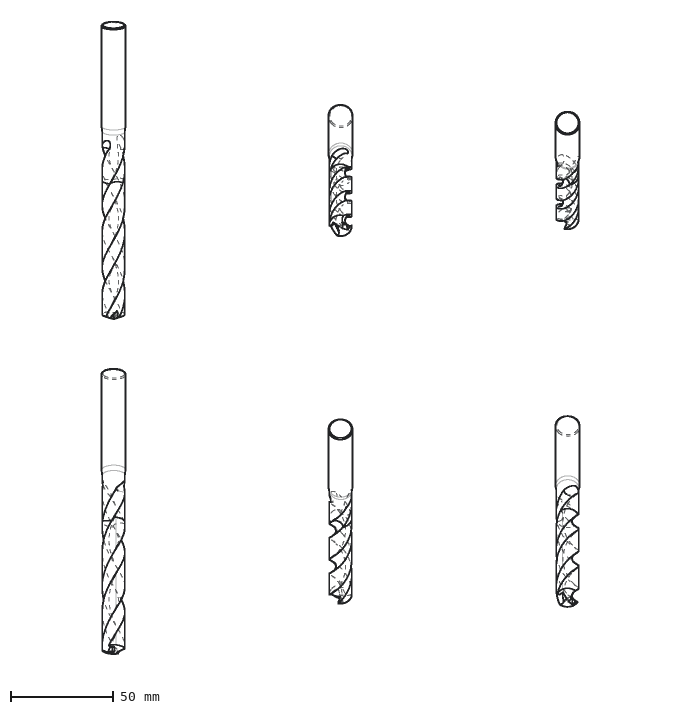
import cadquery as cq
import math

total_length = 151.0
split_height = 71.1
neck_bottom = 96.3
shank_bottom = 99.0

shank_radius = 12.0 / 2
drill_radius = 11.2 / 2

point_angle = 130.0
point_height = drill_radius / math.tan(math.radians(point_angle / 2))
end_chamfer = 0.6

flute_count = 2
flute_lead = 64.2
flute_radius = 3.6
flute_centre_radius = 5.9
flute_angle_at_point = -87.0
flute_start = -1.5
flute_helix_end = 87.6
runout_height = 9.0
runout_sideways = 9.0
runout_outward = 2.4

gash_end = (2.4, -1.4, 5.0)
gash_length = 4.4
gash_width = 4.5
gash_end_slant = 1.5
gash_depth = 6.0
gash_tilt = 0.3


def make_cutting_head():
    """Cylinder with a conical point, before fluting."""
    return (
        cq.Workplane("XZ")
        .moveTo(0, 0)
        .lineTo(drill_radius, point_height)
        .lineTo(drill_radius, split_height)
        .lineTo(0, split_height)
        .close()
        .revolve(360, (0, 0, 0), (0, 1, 0))
    )


def make_shank():
    """Upper drill body, tapered neck and chamfered shank, before fluting."""
    return (
        cq.Workplane("XZ")
        .moveTo(0, split_height)
        .lineTo(drill_radius, split_height)
        .lineTo(drill_radius, neck_bottom)
        .lineTo(shank_radius, shank_bottom)
        .lineTo(shank_radius, total_length - end_chamfer)
        .lineTo(shank_radius - end_chamfer, total_length)
        .lineTo(0, total_length)
        .close()
        .revolve(360, (0, 0, 0), (0, 1, 0))
    )


def helix_angle_at(height):
    """Angle of the first flute around Z, in degrees."""
    return flute_angle_at_point + 360.0 * height / flute_lead


def flute_centre(height):
    """Point of the groove axis of the first flute at the given height."""
    angle = math.radians(helix_angle_at(height))
    return cq.Vector(
        flute_centre_radius * math.cos(angle),
        flute_centre_radius * math.sin(angle),
        height,
    )


def make_helical_cutter():
    """Twisted part of the first flute, cut by a horizontal circle."""
    height = flute_helix_end - flute_start
    centre = flute_centre(flute_start)
    return (
        cq.Workplane("XY")
        .workplane(offset=flute_start)
        .moveTo(centre.x, centre.y)
        .circle(flute_radius)
        .twistExtrude(height, 360.0 * height / flute_lead)
    )


def make_runout_cutter():
    """Straight end of the first flute, leaving the drill sideways and outward."""
    angle = math.radians(helix_angle_at(flute_helix_end))
    outward = cq.Vector(math.cos(angle), math.sin(angle), 0)
    sideways = cq.Vector(-math.sin(angle), math.cos(angle), 0)
    travel = outward * runout_outward + sideways * runout_sideways + cq.Vector(0, 0, runout_height)
    section = cq.Wire.makeCircle(flute_radius, flute_centre(flute_helix_end), cq.Vector(0, 0, 1))
    return cq.Workplane(cq.Solid.extrudeLinear(section, [], travel))


def make_gash_cutter():
    """Block that thins the web beside the point; one long edge lies along the gash top."""
    gash_plane = cq.Plane(
        origin=gash_end,
        xDir=(1, -gash_tilt, 1),
        normal=(0, -1, -gash_tilt),
    )
    return (
        cq.Workplane(gash_plane)
        .lineTo(-gash_length, 0)
        .lineTo(-gash_length, -gash_width)
        .lineTo(-gash_end_slant, -gash_width)
        .close()
        .extrude(gash_depth)
    )


cutting_head = make_cutting_head()
shank = make_shank()
for index in range(flute_count):
    turn = index * 360.0 / flute_count
    helical_cutter = make_helical_cutter().rotate((0, 0, 0), (0, 0, 1), turn)
    runout_cutter = make_runout_cutter().rotate((0, 0, 0), (0, 0, 1), turn)
    gash_cutter = make_gash_cutter().rotate((0, 0, 0), (0, 0, 1), turn)
    cutting_head = cutting_head.cut(helical_cutter).cut(gash_cutter)
    shank = shank.cut(helical_cutter).cut(runout_cutter)

result = cq.Compound.makeCompound([cutting_head.val(), shank.val()])